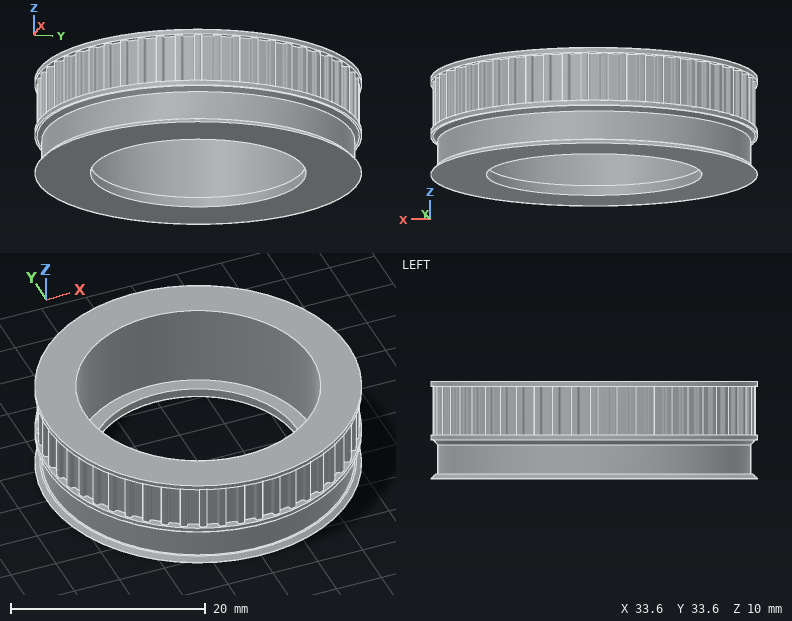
import cadquery as cq
import math

flange_dia = 33.6
drum_dia = 32.2
rim_height = 0.5
upper_cone_top_dia = 33.13
base_cone_top_dia = flange_dia - 2 * rim_height
belt_width = 5.0
drum_height = 3.0

bore_dia = 25.15
lip_dia = 22.15
lip_height = 1.0

tooth_count = 52
tooth_tip_dia = 33.13
groove_width = 1.2
groove_depth = 0.47
groove_corner_radius = 0.2

base_cone_top = rim_height
drum_top = base_cone_top + drum_height
upper_cone_top = drum_top + rim_height
lower_flange_top = upper_cone_top + rim_height
belt_top = lower_flange_top + belt_width
total_height = belt_top + rim_height


def disc(diameter, bottom, top):
    return cq.Workplane("XY").workplane(offset=bottom).circle(diameter / 2).extrude(top - bottom)


def flared_drum():
    """Smooth drum between a base flare, which leaves a small ledge, and the cone under the lower flange."""
    profile = [
        (0, 0),
        (flange_dia / 2, 0),
        (base_cone_top_dia / 2, base_cone_top),
        (drum_dia / 2, base_cone_top),
        (drum_dia / 2, drum_top),
        (upper_cone_top_dia / 2, upper_cone_top),
        (0, upper_cone_top),
    ]
    return cq.Workplane("XZ").polyline(profile).close().revolve(360, (0, 0), (0, 1))


def polar_point(radius, angle):
    return radius * math.cos(angle), radius * math.sin(angle)


def toothed_rim():
    """Belt section with evenly spaced grooves; a tooth is centred on the +X axis."""
    tip_radius = tooth_tip_dia / 2
    floor_radius = tip_radius - groove_depth
    half_width = groove_width / 2
    pitch_angle = 2 * math.pi / tooth_count

    tip_round_offset = half_width + groove_corner_radius
    tip_round_reach = tip_radius - groove_corner_radius
    floor_round_offset = half_width - groove_corner_radius
    floor_round_reach = floor_radius + groove_corner_radius

    tip_angle = math.asin(tip_round_offset / tip_round_reach)
    floor_angle = math.asin(floor_round_offset / floor_round_reach)
    wall_outer_reach = math.sqrt(tip_round_reach**2 - tip_round_offset**2)
    wall_inner_reach = math.sqrt(floor_round_reach**2 - floor_round_offset**2)
    wall_outer_radius = math.hypot(wall_outer_reach, half_width)
    wall_inner_radius = math.hypot(wall_inner_reach, half_width)
    wall_outer_angle = math.atan2(half_width, wall_outer_reach)
    wall_inner_angle = math.atan2(half_width, wall_inner_reach)

    section = (
        cq.Workplane("XY")
        .workplane(offset=lower_flange_top)
        .moveTo(*polar_point(tip_radius, tip_angle - pitch_angle / 2))
    )
    for index in range(tooth_count):
        middle = (index + 0.5) * pitch_angle
        section = (
            section.threePointArc(
                polar_point(tip_radius, middle - pitch_angle / 2),
                polar_point(tip_radius, middle - tip_angle),
            )
            .tangentArcPoint(polar_point(wall_outer_radius, middle - wall_outer_angle), relative=False)
            .lineTo(*polar_point(wall_inner_radius, middle - wall_inner_angle))
            .tangentArcPoint(polar_point(floor_radius, middle - floor_angle), relative=False)
            .threePointArc(polar_point(floor_radius, middle), polar_point(floor_radius, middle + floor_angle))
            .tangentArcPoint(polar_point(wall_inner_radius, middle + wall_inner_angle), relative=False)
            .lineTo(*polar_point(wall_outer_radius, middle + wall_outer_angle))
            .tangentArcPoint(polar_point(tip_radius, middle + tip_angle), relative=False)
        )
    return section.close().extrude(belt_width)


result = (
    flared_drum()
    .union(disc(flange_dia, upper_cone_top, lower_flange_top))
    .union(toothed_rim())
    .union(disc(flange_dia, belt_top, total_height))
    .cut(disc(lip_dia, 0, lip_height))
    .cut(disc(bore_dia, lip_height, total_height))
)